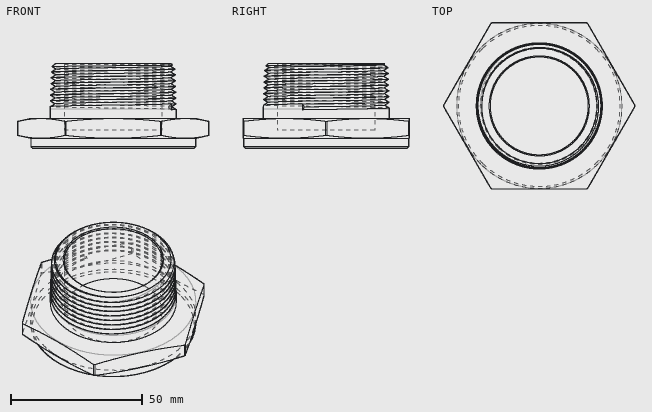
import cadquery as cq
import math

SEAL_HEIGHT = 3.9
HEX_HEIGHT = 7.6
TOTAL_HEIGHT = 32.5
HEX_TOP = SEAL_HEIGHT + HEX_HEIGHT

SEAL_RADIUS = 31.55
SEAL_CHAMFER = 0.7

ACROSS_FLATS = 63.5
ACROSS_CORNERS = 73.0
HEX_FACE_RADIUS = 31.55
HEX_CORNER_DROP = 1.1

COLLAR_RADIUS = 24.1
COLLAR_HEIGHT = 3.6
TAPER_ANGLE = 1.8
NECK_TOP_RADIUS = 22.05
NECK_CHAMFER = 1.45
COLLAR_TOP = HEX_TOP + COLLAR_HEIGHT
TAPER_SLOPE = math.tan(math.radians(TAPER_ANGLE))

PITCH = 2.205
GROOVE_DEPTH = 1.7
GROOVE_WIDTH = 2.1
CREST_SHOULDER = 0.06
GROOVE_CLEARANCE = 0.1
GROOVE_START = 15.85
THREAD_TURNS = 8.3
GROOVE_START_ANGLE = -22

BORE_RADIUS = 18.7
BORE_CHAMFER = 0.45
BORE_FLOOR = 7.0


def revolve_profile(points):
    """Turn an outline of (radius, height) points about the Z axis."""
    return cq.Workplane("XZ").polyline(points).close().revolve(360, (0, 0), (0, 1))


def make_seal():
    """Flat disc under the flange, chamfered at its lower rim."""
    disc = cq.Workplane("XY").circle(SEAL_RADIUS).extrude(SEAL_HEIGHT)
    return disc.faces("<Z").chamfer(SEAL_CHAMFER)


def make_flange():
    """Hexagon with points along X, its corners turned off above and below."""
    sharp_corners = ACROSS_FLATS / math.cos(math.pi / 6)
    hexagon = (
        cq.Workplane("XY", origin=(0, 0, SEAL_HEIGHT))
        .polygon(6, sharp_corners)
        .extrude(HEX_HEIGHT)
    )
    envelope = revolve_profile([
        (0, SEAL_HEIGHT),
        (HEX_FACE_RADIUS, SEAL_HEIGHT),
        (ACROSS_CORNERS / 2, SEAL_HEIGHT + HEX_CORNER_DROP),
        (ACROSS_CORNERS / 2, HEX_TOP - HEX_CORNER_DROP),
        (HEX_FACE_RADIUS, HEX_TOP),
        (0, HEX_TOP),
    ])
    return hexagon.intersect(envelope)


def make_neck():
    """Plain collar followed by a slightly tapered, chamfered thread blank."""
    chamfer_start = TOTAL_HEIGHT - NECK_CHAMFER
    crest_radius = COLLAR_RADIUS - (chamfer_start - COLLAR_TOP) * TAPER_SLOPE
    blank = revolve_profile([
        (0, HEX_TOP),
        (COLLAR_RADIUS, HEX_TOP),
        (COLLAR_RADIUS, COLLAR_TOP),
        (crest_radius, chamfer_start),
        (NECK_TOP_RADIUS, TOTAL_HEIGHT),
        (0, TOTAL_HEIGHT),
    ])
    return blank.rotate((0, 0, 0), (0, 0, 1), 180)


def make_thread_groove():
    """Right-hand V groove that follows the taper and runs out through the top."""
    crest_radius = COLLAR_RADIUS - (GROOVE_START - COLLAR_TOP) * TAPER_SLOPE
    shoulder_radius = crest_radius - CREST_SHOULDER
    outer_radius = crest_radius + GROOVE_CLEARANCE
    half_width = GROOVE_WIDTH / 2
    helix = cq.Wire.makeHelix(PITCH, THREAD_TURNS * PITCH, crest_radius, angle=-TAPER_ANGLE)
    groove = (
        cq.Workplane("XZ")
        .polyline([
            (crest_radius - GROOVE_DEPTH, 0),
            (shoulder_radius, -half_width),
            (outer_radius, -half_width),
            (outer_radius, half_width),
            (shoulder_radius, half_width),
        ])
        .close()
        .sweep(cq.Workplane("XY").add(helix), isFrenet=True)
    )
    return groove.rotate((0, 0, 0), (0, 0, 1), GROOVE_START_ANGLE).translate((0, 0, GROOVE_START))


def make_bore():
    """Blind bore with a chamfered mouth."""
    return revolve_profile([
        (0, BORE_FLOOR),
        (BORE_RADIUS, BORE_FLOOR),
        (BORE_RADIUS, TOTAL_HEIGHT - BORE_CHAMFER),
        (BORE_RADIUS + BORE_CHAMFER, TOTAL_HEIGHT),
        (0, TOTAL_HEIGHT),
    ])


def make_plug():
    """Hexagonal flange with its threaded, hollow neck."""
    threaded_neck = make_neck().cut(make_thread_groove())
    return make_flange().union(threaded_neck).cut(make_bore())


seal = make_seal()
plug = make_plug()

result = cq.Compound.makeCompound([plug.solids().val(), seal.val()])